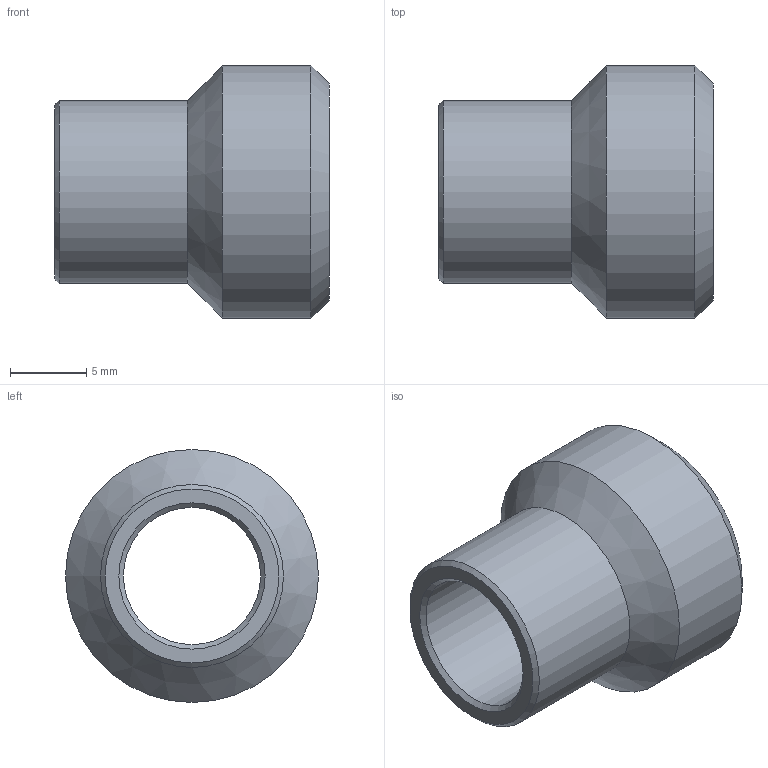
import cadquery as cq

length = 18.0
tube_diameter = 12.0
head_diameter = 16.6
bore_diameter = 9.0
head_straight_length = 5.8
head_chamfer = 1.2
tube_chamfer = 0.3

tube_radius = tube_diameter / 2
head_radius = head_diameter / 2
bore_radius = bore_diameter / 2
head_chamfer_start = length - head_chamfer
head_start = head_chamfer_start - head_straight_length
shoulder_start = head_start - (head_radius - tube_radius)


def turned_body():
    """Tube, conical shoulder and head, with chamfered edges and a through bore."""
    half_section = (
        cq.Workplane("XY")
        .moveTo(0, bore_radius + tube_chamfer)
        .lineTo(0, tube_radius - tube_chamfer)
        .lineTo(tube_chamfer, tube_radius)
        .lineTo(shoulder_start, tube_radius)
        .lineTo(head_start, head_radius)
        .lineTo(head_chamfer_start, head_radius)
        .lineTo(length, head_radius - head_chamfer)
        .lineTo(length, bore_radius)
        .lineTo(tube_chamfer, bore_radius)
        .close()
    )
    return half_section.revolve(360, (0, 0, 0), (1, 0, 0))


result = turned_body()